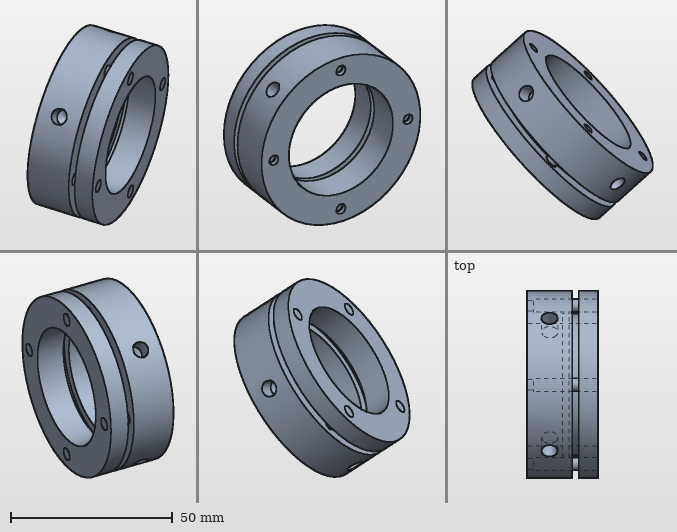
import math

import cadquery as cq

outer_diameter = 58.0
bore_diameter = 38.0
total_length = 22.0

wide_rim_length = 14.0
gap_width = 2.0
hub_diameter = 44.0

bore_groove_diameter = hub_diameter
bore_groove_width = gap_width
web_thickness = 1.05

pin_count = 4
pin_diameter = 4.0
pin_circle_radius = 24.5
face_hole_diameter = 3.3
face_hole_depth = 2.0

radial_hole_diameter = 5.0
radial_hole_depth = 6.0
drill_tip_angle = 118
drill_tip_height = radial_hole_diameter / 2 / math.tan(math.radians(drill_tip_angle / 2))

left_face_x = -total_length / 2
gap_start_x = left_face_x + wide_rim_length
bore_groove_start_x = gap_start_x - web_thickness - bore_groove_width
radial_hole_x = left_face_x + wide_rim_length / 2

pin_start_x = left_face_x + face_hole_depth
pin_length = total_length - face_hole_depth

pin_spacing_angle = 360 / pin_count


def axial_cylinder(diameter, start_x, length):
    """Solid cylinder on the X axis."""
    return cq.Workplane("YZ").workplane(offset=start_x).circle(diameter / 2).extrude(length)


def axial_ring(outer, inner, start_x, length):
    """Ring around the X axis."""
    return axial_cylinder(outer, start_x, length).cut(axial_cylinder(inner, start_x, length))


def turn_about_axis(shape, steps):
    """Turn a shape about the X axis by a number of pin spacings."""
    return shape.rotate((0, 0, 0), (1, 0, 0), steps * pin_spacing_angle)


def pin_axis_cylinder(index, diameter, start_x, length):
    """Cylinder parallel to X on the pin circle, at the numbered pin position."""
    cylinder = axial_cylinder(diameter, start_x, length).translate((0, 0, pin_circle_radius))
    return turn_about_axis(cylinder, index)


def radial_hole(index):
    """Cutter for one radial hole with a conical floor, half a spacing on from the numbered pin."""
    hole_radius = radial_hole_diameter / 2
    mouth_z = outer_diameter / 2
    shoulder_z = mouth_z - radial_hole_depth
    cutter = (
        cq.Workplane("XZ")
        .moveTo(0, shoulder_z - drill_tip_height)
        .lineTo(hole_radius, shoulder_z)
        .lineTo(hole_radius, mouth_z)
        .lineTo(0, mouth_z)
        .close()
        .revolve(360, (0, 0), (0, 1))
        .translate((radial_hole_x, 0, 0))
    )
    return turn_about_axis(cutter, index + 0.5)


def make_housing():
    """Ring with the gap, the bore groove, the pin seats, the face holes and the radial holes."""
    body = axial_ring(outer_diameter, bore_diameter, left_face_x, total_length)
    body = body.cut(axial_ring(outer_diameter, hub_diameter, gap_start_x, gap_width))
    body = body.cut(axial_cylinder(bore_groove_diameter, bore_groove_start_x, bore_groove_width))
    for index in range(pin_count):
        body = body.cut(make_pin(index))
        body = body.cut(pin_axis_cylinder(index, face_hole_diameter, left_face_x, face_hole_depth))
        body = body.cut(radial_hole(index))
    return body


def make_pin(index):
    """Pin seated in the wide rim, crossing the gap and passing through the narrow rim."""
    return pin_axis_cylinder(index, pin_diameter, pin_start_x, pin_length)


housing = make_housing()
pins = [make_pin(index) for index in range(pin_count)]

result = cq.Compound.makeCompound([housing.solids().val(), *[pin.solids().val() for pin in pins]])